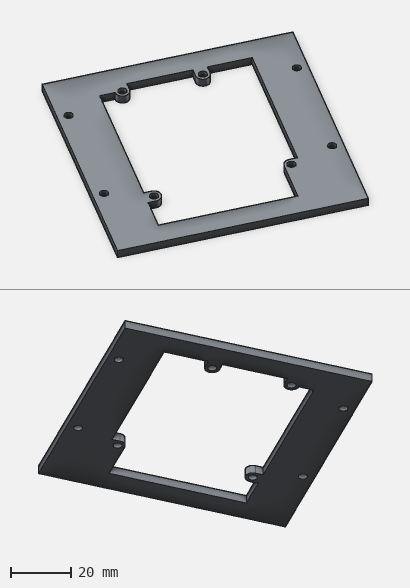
import cadquery as cq

width = 85.1
length = 87.0
thickness = 3.1

side_wall = 8.0
end_wall = 16.6
opening_right = width / 2 - side_wall
opening_left = -opening_right
opening_top = length / 2 - end_wall
opening_bottom = -opening_top

hole_diameter = 3.0
mount_left = -25.4
mount_spacing = 39.85
mount_edge_distance = 3.9

lug_radius = 2.5
left_lug_x = -31.6
upper_lug_y = 8.9
left_lug_spacing = 27.9
lower_lug_y = upper_lug_y - left_lug_spacing
bottom_lug_x = 20.5
bottom_lug_y = -24.1
corner_lug_x = 19.1
corner_lug_y = 24.0


def block(x_min, x_max, y_min, y_max):
    """Full-thickness rectangular block between the given limits."""
    return (
        cq.Workplane("XY")
        .center((x_min + x_max) / 2, (y_min + y_max) / 2)
        .rect(x_max - x_min, y_max - y_min)
        .extrude(thickness)
    )


def cylinders(centers, diameter):
    """Full-thickness cylinders at the given centers."""
    return cq.Workplane("XY").pushPoints(centers).circle(diameter / 2).extrude(thickness)


frame = block(-width / 2, width / 2, -length / 2, length / 2)
frame = frame.cut(block(opening_left, opening_right, opening_bottom, opening_top))

lug_centers = [
    (left_lug_x, upper_lug_y),
    (left_lug_x, lower_lug_y),
    (bottom_lug_x, bottom_lug_y),
    (corner_lug_x, corner_lug_y),
]
frame = frame.union(cylinders(lug_centers, 2 * lug_radius))

for lug_y in (upper_lug_y, lower_lug_y):
    frame = frame.union(block(opening_left, left_lug_x, lug_y - lug_radius, lug_y + lug_radius))
frame = frame.union(
    block(bottom_lug_x - lug_radius, bottom_lug_x + lug_radius, opening_bottom, bottom_lug_y)
)

frame = frame.union(block(opening_left, left_lug_x, opening_bottom, lower_lug_y))

corner_left = corner_lug_x - lug_radius
corner_bottom = corner_lug_y - lug_radius
frame = frame.union(block(corner_left, opening_right, corner_lug_y, opening_top))
frame = frame.union(block(corner_lug_x, opening_right, corner_bottom, opening_top))

mount_y = length / 2 - mount_edge_distance
mount_centers = [
    (x, y) for x in (mount_left, mount_left + mount_spacing) for y in (-mount_y, mount_y)
]
result = frame.cut(cylinders(mount_centers + lug_centers, hole_diameter))